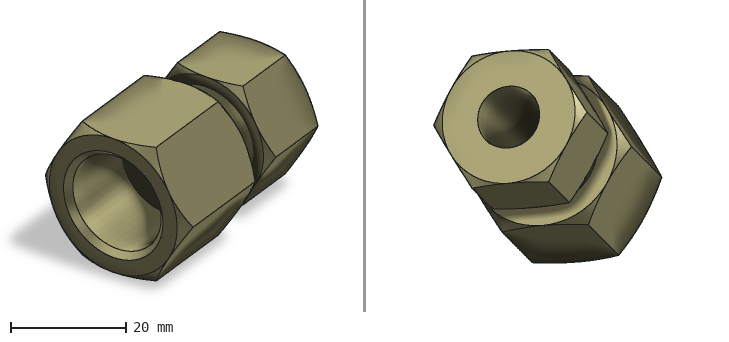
import cadquery as cq
import math

total_length = 43.4
body_hex_length = 22.5
nut_length = 15.0
neck_length = total_length - body_hex_length - nut_length

body_across_flats = 27.0
nut_across_flats = 24.0
body_chamfer_length = 1.82
nut_chamfer_length = 1.1

neck_diameter = 20.0
bore_diameter = 11.2
socket_diameter = 18.65
socket_mouth_diameter = 21.0
socket_depth = 16.0
mouth_chamfer_length = (socket_mouth_diameter - socket_diameter) / 2

front_face = -total_length / 2
neck_start = front_face + body_hex_length
nut_start = neck_start + neck_length


def revolve_about_y(profile):
    """Revolve (radius, y) points into a solid around the Y axis."""
    return cq.Workplane("XY").polyline(profile).close().revolve(360, (0, 0, 0), (0, 1, 0))


def chamfered_hex(start, length, across_flats, chamfer_length):
    """Hexagonal prism along +Y whose corners are cut conically at both ends."""
    corner_radius = across_flats / math.sqrt(3)
    flat_radius = across_flats / 2
    end = start + length
    prism = (
        cq.Workplane("XZ", origin=(0, start, 0))
        .polygon(6, 2 * corner_radius)
        .extrude(-length)
    )
    envelope = revolve_about_y([
        (0, start),
        (flat_radius, start),
        (corner_radius, start + chamfer_length),
        (corner_radius, end - chamfer_length),
        (flat_radius, end),
        (0, end),
    ])
    return prism.intersect(envelope)


def cylinder(start, length, diameter):
    """Cylinder along +Y."""
    return cq.Workplane("XZ", origin=(0, start, 0)).circle(diameter / 2).extrude(-length)


def socket():
    """Blind socket with a conical lead-in at the front face."""
    floor = front_face + socket_depth
    return revolve_about_y([
        (0, front_face),
        (socket_mouth_diameter / 2, front_face),
        (socket_diameter / 2, front_face + mouth_chamfer_length),
        (socket_diameter / 2, floor),
        (0, floor),
    ])


body = chamfered_hex(front_face, body_hex_length, body_across_flats, body_chamfer_length)
neck = cylinder(neck_start, neck_length, neck_diameter)
nut = chamfered_hex(nut_start, nut_length, nut_across_flats, nut_chamfer_length)
through_bore = cylinder(front_face, total_length, bore_diameter)

result = body.union(neck).union(nut).cut(socket()).cut(through_bore)